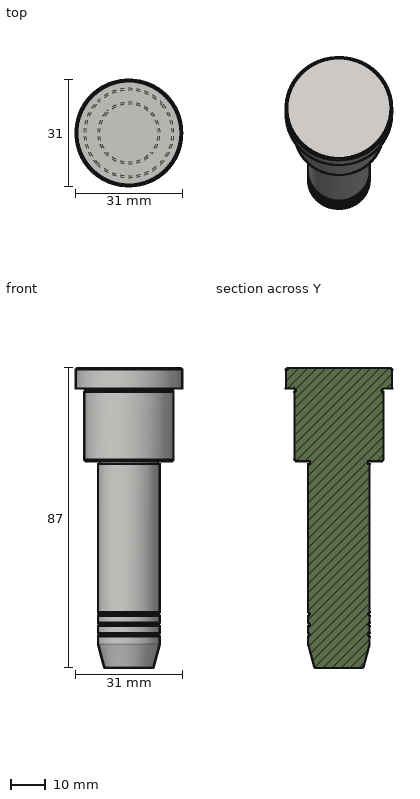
import cadquery as cq

total_length = 87.0
head_diameter = 31.0
head_height = 6.0
body_diameter = 26.0
body_bottom = 59.9
shaft_diameter = 18.0

tip_height = 7.0
tip_diameter = 14.3
tip_fillet = 0.5

edge_chamfer = 0.5
groove_depth = 0.5
groove_count = 3
lowest_groove = 9.7
highest_groove = 15.7
neck_height = 0.8
neck_depth = 0.5

head_bottom = total_length - head_height
groove_pitch = (highest_groove - lowest_groove) / (groove_count - 1)
shaft_top = body_bottom - neck_height
neck_diameter = shaft_diameter - 2 * neck_depth


def cylinder(diameter, bottom, top):
    """Solid cylinder on the Z axis between two heights."""
    return cq.Workplane("XY").workplane(offset=bottom).circle(diameter / 2).extrude(top - bottom)


def v_groove(diameter, height):
    """Ring that cuts a 45-degree V groove into a cylinder, centred at a given height."""
    radius = diameter / 2
    return (
        cq.Workplane("XZ")
        .moveTo(radius, height - groove_depth)
        .lineTo(radius - groove_depth, height)
        .lineTo(radius, height + groove_depth)
        .close()
        .revolve(360, (0, 0, 0), (0, 1, 0))
    )


head = cylinder(head_diameter, head_bottom, total_length).faces(">Z").edges().chamfer(edge_chamfer)

body = cylinder(body_diameter, body_bottom, head_bottom).faces("<Z").edges().chamfer(edge_chamfer)
body = body.cut(v_groove(body_diameter, head_bottom - groove_depth))

shaft = cylinder(shaft_diameter, tip_height, shaft_top)
neck = cylinder(neck_diameter, shaft_top, body_bottom)
for index in range(groove_count):
    shaft = shaft.cut(v_groove(shaft_diameter, lowest_groove + index * groove_pitch))

tip = (
    cq.Workplane("XY")
    .circle(tip_diameter / 2)
    .workplane(offset=tip_height)
    .circle(shaft_diameter / 2)
    .loft(ruled=True)
    .faces("<Z")
    .edges()
    .fillet(tip_fillet)
)

result = head.union(body).union(neck).union(shaft).union(tip)